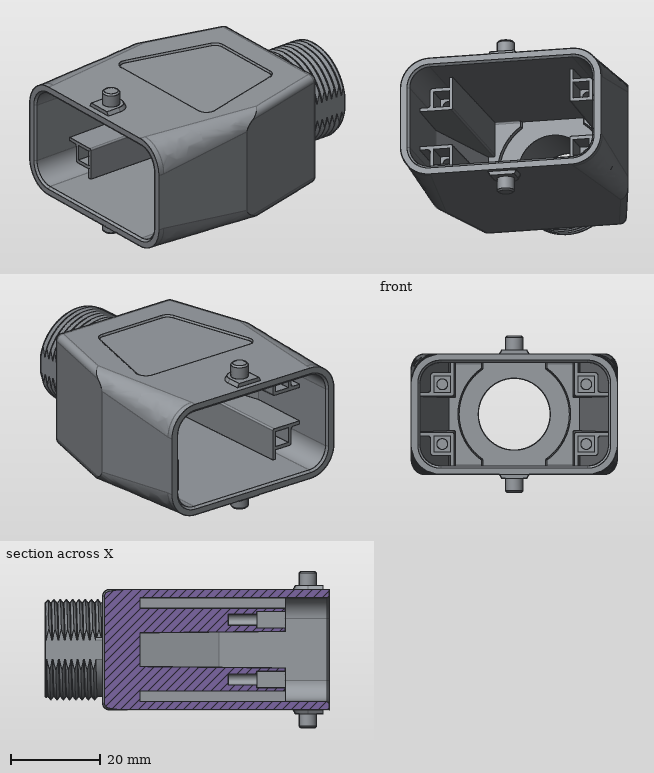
import cadquery as cq
import math


LENGTH = 63.6
HOOD_WIDTH = 46.2
HOOD_HEIGHT = 26.95
HOOD_LENGTH = 50.75
SHOULDER_Y = 25.3
BACK_WIDTH = 32.7
EDGE_RADIUS = 1.6
RIM_LENGTH = 1.4
RIM_CORNER_RADIUS = 6.7
BACK_CORNER_RADIUS = 0.4

CAVITY_WIDTH = 42.1
CAVITY_HEIGHT = 23.15
CAVITY_CORNER_RADIUS = 4.65
CAVITY_BACK_WIDTH = 29.25
CAVITY_SHOULDER_Y = 24.7
CAVITY_DEPTH = 47.7
FLOOR_FILLET = 0.4
MOUTH_BEVEL = 0.5

RELIEF_RADIUS = 12.6
RELIEF_DEPTH = 0.75
RELIEF_DRAFT_ANGLE = 20.0
RELIEF_END_WIDTH = 14.6
BORE_RADIUS = 8.0

POST_X = 16.1
POST_Z = 6.7
POST_FRONT_Y = 9.85
POST_SIZE = 5.2
POST_CORNER_RADIUS = 0.65
SOCKET_SIZE = 3.6
SOCKET_DEPTH = 6.35
SCREW_HOLE_RADIUS = 1.2
SCREW_HOLE_DEPTH = 6.35
RIB_DRAFT = 0.4
RIB_CORNER_RADIUS = 0.4

PANEL_FRONT_Y = 18.8
PANEL_BACK_Y = 43.6
PANEL_FRONT_WIDTH = 33.45
PANEL_CORNER_RADIUS = 2.2
PANEL_DEPTH = 0.5
PANEL_DRAFT_ANGLE = 25.0

PIN_Y = 4.85
PIN_RADIUS = 2.0
PIN_TIP_Z = 17.5
PIN_CHAMFER = 0.4
PAD_RADIUS = 3.3
PAD_HEIGHT = 0.9
PAD_BEVEL = 0.5

THREAD_CREST_RADIUS = 11.25
THREAD_ROOT_RADIUS = 10.5
THREAD_PITCH = 1.4
THREAD_FLAT_WIDTH = 20.55
THREAD_END_CHAMFER = 0.8
THREAD_START_Y = 51.5
THREAD_START_ANGLE = 195.0
RIDGE_WIDTH = 1.35

OVERLAP = 0.3


def box(x_min, x_max, y_min, y_max, z_min, z_max):
    """Axis-aligned block between the given limits."""
    size = (x_max - x_min, y_max - y_min, z_max - z_min)
    return cq.Workplane("XY").box(*size, centered=False).translate((x_min, y_min, z_min))


def cross_plane(y):
    """Plane across the hood, with its normal along +Y."""
    return cq.Workplane(cq.Plane((0, y, 0), xDir=(-1, 0, 0), normal=(0, 1, 0)))


def rounded_section(y, width, height, radius):
    """Wire of a rounded rectangle across the hood."""
    face = cq.Sketch().rect(width, height).vertices().fillet(radius)
    return cross_plane(y).placeSketch(face).extrude(0.65).faces("<Y").wires().val()


def rounded_loft(y_start, y_end, width, height, radius_start, radius_end):
    """Rounded bar along Y whose corner radius changes evenly."""
    wires = [
        rounded_section(y_start, width, height, radius_start),
        rounded_section(y_end, width, height, radius_end),
    ]
    return cq.Workplane(cq.Solid.makeLoft(wires, True))


def tapered_plan(width, back_width, shoulder_y, length, height):
    """Block with straight sides to the shoulder, then leaning in to the back."""
    outline = [
        (-width / 2, 0),
        (width / 2, 0),
        (width / 2, shoulder_y),
        (back_width / 2, length),
        (-back_width / 2, length),
        (-width / 2, shoulder_y),
    ]
    return cq.Workplane("XY").polyline(outline).close().extrude(height / 2, both=True)


def mirrored_four(body):
    """The body together with its mirror images across X = 0 and Z = 0."""
    pair = body.union(body.mirror("YZ"))
    return pair.union(pair.mirror("XY"))


def outer_hood():
    plan = tapered_plan(HOOD_WIDTH, BACK_WIDTH, SHOULDER_Y, HOOD_LENGTH, HOOD_HEIGHT)
    plan = plan.edges("|Z and (not <Y)").fillet(EDGE_RADIUS)
    plan = plan.faces("|Z").edges("not <Y").fillet(EDGE_RADIUS)
    rim = rounded_loft(0, RIM_LENGTH, HOOD_WIDTH, HOOD_HEIGHT, RIM_CORNER_RADIUS, RIM_CORNER_RADIUS)
    sleeve = rounded_loft(
        RIM_LENGTH, HOOD_LENGTH, HOOD_WIDTH, HOOD_HEIGHT, RIM_CORNER_RADIUS, BACK_CORNER_RADIUS
    )
    return plan.intersect(rim.union(sleeve))


def cavity_space():
    plan = tapered_plan(
        CAVITY_WIDTH, CAVITY_BACK_WIDTH, CAVITY_SHOULDER_Y, CAVITY_DEPTH, CAVITY_HEIGHT
    )
    sleeve = rounded_loft(
        0, CAVITY_DEPTH, CAVITY_WIDTH, CAVITY_HEIGHT, CAVITY_CORNER_RADIUS, CAVITY_CORNER_RADIUS
    )
    return plan.intersect(sleeve).faces(">Y").edges("|X").fillet(FLOOR_FILLET)


def mouth_bevel():
    wires = [
        rounded_section(
            0,
            CAVITY_WIDTH + 2 * MOUTH_BEVEL,
            CAVITY_HEIGHT + 2 * MOUTH_BEVEL,
            CAVITY_CORNER_RADIUS + MOUTH_BEVEL,
        ),
        rounded_section(MOUTH_BEVEL, CAVITY_WIDTH, CAVITY_HEIGHT, CAVITY_CORNER_RADIUS),
    ]
    return cq.Workplane(cq.Solid.makeLoft(wires, True))


def floor_relief():
    """Round relief around the bore, running out to the long walls in a parallel strip."""
    reach = RELIEF_END_WIDTH / 2
    wall_z = CAVITY_HEIGHT / 2
    end_z = wall_z + RELIEF_DEPTH
    corner_z = math.sqrt(RELIEF_RADIUS**2 - reach**2)
    outline = (
        cross_plane(CAVITY_DEPTH)
        .moveTo(-reach, end_z)
        .lineTo(reach, end_z)
        .lineTo(reach, corner_z)
        .threePointArc((RELIEF_RADIUS, 0), (reach, -corner_z))
        .lineTo(reach, -end_z)
        .lineTo(-reach, -end_z)
        .lineTo(-reach, -corner_z)
        .threePointArc((-RELIEF_RADIUS, 0), (-reach, corner_z))
        .close()
    )
    recess = outline.extrude(RELIEF_DEPTH, taper=RELIEF_DRAFT_ANGLE)
    strip = box(-reach, reach, CAVITY_DEPTH - FLOOR_FILLET, CAVITY_DEPTH, -wall_z, wall_z)
    between_walls = box(-HOOD_WIDTH, HOOD_WIDTH, 0, HOOD_LENGTH, -wall_z, wall_z)
    return recess.union(strip).intersect(between_walls)


def rib_section(y, x_in, z_in, growth):
    """Wire of the angled rib: a level leg to the side wall and an upright leg to the long wall."""
    thickness = (POST_SIZE - SOCKET_SIZE) / 2
    left = x_in - growth
    low = z_in - growth
    wall_x = HOOD_WIDTH / 2
    wall_z = HOOD_HEIGHT / 2
    bulge = RIB_CORNER_RADIUS * (1 - math.sqrt(0.5))
    outline = (
        cross_plane(y)
        .moveTo(-left, wall_z)
        .lineTo(-left, low + RIB_CORNER_RADIUS)
        .threePointArc((-left - bulge, low + bulge), (-left - RIB_CORNER_RADIUS, low))
        .lineTo(-wall_x, low)
        .lineTo(-wall_x, z_in + thickness)
        .lineTo(-x_in - thickness - growth, z_in + thickness)
        .lineTo(-x_in - thickness - growth, wall_z)
        .close()
    )
    return outline.val()


def screw_posts():
    """Square posts, each tied to the walls by an upright and a level rib."""
    half = POST_SIZE / 2
    x_in = POST_X - half
    z_in = POST_Z - half
    x_out = POST_X + half
    z_out = POST_Z + half
    rib_thickness = half - SOCKET_SIZE / 2
    post = box(
        x_in + RIB_CORNER_RADIUS, x_out, POST_FRONT_Y, CAVITY_DEPTH, z_in + RIB_CORNER_RADIUS, z_out
    )
    post = post.edges("|Y and >X and >Z").fillet(POST_CORNER_RADIUS)

    sections = [
        rib_section(POST_FRONT_Y, x_in, z_in, 0),
        rib_section(CAVITY_DEPTH, x_in, z_in, RIB_DRAFT),
    ]
    post = post.union(cq.Workplane(cq.Solid.makeLoft(sections, True)))
    inner_corner = (x_out, (POST_FRONT_Y + CAVITY_DEPTH) / 2, z_in + rib_thickness)
    post = post.edges(cq.selectors.NearestToPointSelector(inner_corner)).fillet(POST_CORNER_RADIUS)

    post = post.intersect(cavity_space())
    socket = cross_plane(POST_FRONT_Y).center(-POST_X, POST_Z).rect(SOCKET_SIZE, SOCKET_SIZE)
    hole = cross_plane(POST_FRONT_Y + SOCKET_DEPTH).center(-POST_X, POST_Z).circle(SCREW_HOLE_RADIUS)
    post = post.cut(socket.extrude(SOCKET_DEPTH)).cut(hole.extrude(SCREW_HOLE_DEPTH))
    return mirrored_four(post)


def label_panel():
    lean = (HOOD_WIDTH - BACK_WIDTH) / (HOOD_LENGTH - SHOULDER_Y)
    back_width = PANEL_FRONT_WIDTH - lean * (PANEL_BACK_Y - PANEL_FRONT_Y)
    outline = [
        (-PANEL_FRONT_WIDTH / 2, PANEL_FRONT_Y),
        (PANEL_FRONT_WIDTH / 2, PANEL_FRONT_Y),
        (back_width / 2, PANEL_BACK_Y),
        (-back_width / 2, PANEL_BACK_Y),
    ]
    face = cq.Sketch().polygon(outline + outline[:1]).vertices().fillet(PANEL_CORNER_RADIUS)
    top = cq.Workplane("XY", origin=(0, 0, HOOD_HEIGHT / 2))
    return top.placeSketch(face).extrude(-PANEL_DEPTH, taper=PANEL_DRAFT_ANGLE)


def locking_pins():
    """Chamfered pins on arched pads, one on each broad face."""
    surface_z = HOOD_HEIGHT / 2
    seat = cq.Workplane("XY", origin=(0, PIN_Y, surface_z))
    pad = seat.circle(PAD_RADIUS).workplane(offset=PAD_HEIGHT).circle(PAD_RADIUS - PAD_BEVEL)
    pad = pad.loft(ruled=True)
    pad_outline = [
        (-PAD_RADIUS, surface_z),
        (PAD_RADIUS, surface_z),
        (PAD_RADIUS - PAD_BEVEL, surface_z + PAD_HEIGHT),
        (-PAD_RADIUS + PAD_BEVEL, surface_z + PAD_HEIGHT),
    ]
    foot = cq.Workplane("XZ", origin=(0, PIN_Y, 0)).polyline(pad_outline).close()
    pad = pad.union(foot.extrude(PIN_Y - RIM_LENGTH))
    pad = pad.cut(box(-PAD_RADIUS, PAD_RADIUS, 0, RIM_LENGTH, surface_z, PIN_TIP_Z))

    pin = seat.workplane(offset=-OVERLAP).circle(PIN_RADIUS).extrude(PIN_TIP_Z - surface_z + OVERLAP)
    pin = pin.faces(">Z").chamfer(PIN_CHAMFER)
    upper = pad.union(pin)
    return upper.union(upper.mirror("XY"))


def thread_ridge(base_radius, ridge_length):
    """Triangular ridge wound around the Z axis, bounded by helical faces and two end caps."""
    corners = [
        (base_radius, -RIDGE_WIDTH / 2),
        (THREAD_CREST_RADIUS, 0),
        (base_radius, RIDGE_WIDTH / 2),
    ]
    helices = []
    for radius, shift in corners:
        helix = cq.Wire.makeHelix(THREAD_PITCH, ridge_length, radius)
        helices.append(helix.translate(cq.Vector(0, 0, shift)))
    faces = []
    for index, helix in enumerate(helices):
        faces.append(cq.Face.makeRuledSurface(helices[index - 1], helix))
    for position in (0, 1):
        cap = [helix.positionAt(position) for helix in helices]
        faces.append(cq.Face.makeFromWires(cq.Wire.makePolygon(cap, close=True)))
    return cq.Workplane(cq.Solid.makeSolid(cq.Shell.makeShell(faces)))


def threaded_entry():
    """Right-hand thread on a round neck, with flats on both sides and a chamfered end."""
    neck_y = HOOD_LENGTH - OVERLAP
    neck = cross_plane(neck_y).circle(THREAD_ROOT_RADIUS).extrude(LENGTH - neck_y)

    base_radius = THREAD_ROOT_RADIUS - OVERLAP / 4
    ridge_length = LENGTH + THREAD_PITCH - THREAD_START_Y
    ridge = thread_ridge(base_radius, ridge_length)
    ridge = ridge.rotate((0, 0, 0), (0, 0, 1), THREAD_START_ANGLE)
    ridge = ridge.rotate((0, 0, 0), (1, 0, 0), -90).translate((0, THREAD_START_Y, 0))

    envelope = cross_plane(neck_y).circle(THREAD_CREST_RADIUS).extrude(LENGTH - neck_y)
    envelope = envelope.faces(">Y").chamfer(THREAD_END_CHAMFER)
    flats = cross_plane(neck_y).rect(THREAD_FLAT_WIDTH, 2 * THREAD_CREST_RADIUS).extrude(LENGTH - neck_y)
    return neck.union(ridge).intersect(envelope).intersect(flats)


bore = cross_plane(0).circle(BORE_RADIUS).extrude(LENGTH)

result = (
    outer_hood()
    .union(threaded_entry())
    .cut(cavity_space())
    .cut(mouth_bevel())
    .cut(floor_relief())
    .union(screw_posts())
    .cut(bore)
    .cut(label_panel())
    .union(locking_pins())
)